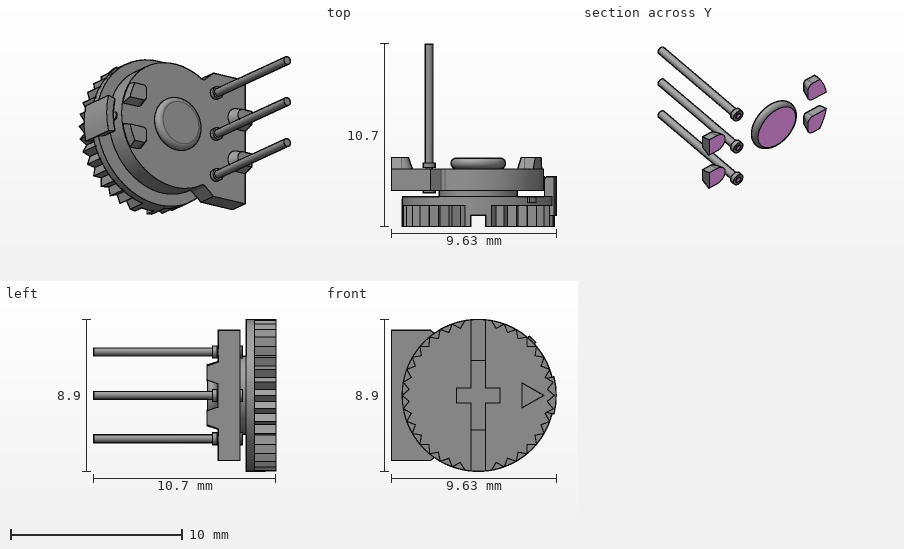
import cadquery as cq
import math


wheel_radius = 4.45
tooth_root_radius = 4.05
tooth_pitch = 10
smooth_half_angle = 10
teeth_back = 1.25
flange_back = 1.75

slot_width = 0.86
slot_depth = 0.65
slot_cut_length = 3 * wheel_radius
cross_height = 4.06
cross_length = 2.54
cross_depth = 0.86
arrow_base_x = 2.56
arrow_tip_x = 3.84
arrow_half_height = 0.72
arrow_depth = 0.37

tab_inner_radius = 3.99
tab_outer_radius = 4.56
tab_half_angle = 13.9
tab_back = 2.92
tab_chamfer = 0.12
index_angle = 46
index_length = 0.53
index_top_radius = 4.57
index_root_radius = 4.16
index_front = 1.4
index_back = 1.72

hub_radius = 2.29
body_radius = 3.82
body_front = 2.1
body_back = 3.38
body_left = -5.07
shoulder_x = -2.79
shoulder_angle = 40
shoulder_fillet = 0.19
nub_radius = 0.23
nub_tip_x = 3.88
nub_y = 2.71

pad_back = 4.04
pad_z = 1.31
left_pad_radius = 0.64
left_pad_arc_x = -4.48
left_pad_draft = 19.4
right_pad_inner_x = 2.3
right_pad_rim_radius = 3.77
right_pad_width = 1.34
right_pad_corner = 0.4
right_pad_draft = 17
knob_back = 4.01
knob_radius = 1.6

lead_x = -2.87
lead_spacing = 2.54
lead_radius = 0.48 / 2
lead_back = 10.66
collar_radius = 0.71 / 2
collar_front = 3.44
collar_back = 3.72
neck_radius = 0.37 / 2
rivet_front = 1.97


def plane_at(y):
    """Workplane at depth y whose local axes are X and Z."""
    return cq.Workplane("XZ", origin=(0, y, 0))


def raise_to_back(sketch, y_front, y_back, taper=0):
    """Extrude an outline towards +Y from y_front to y_back."""
    return sketch.extrude(y_front - y_back, taper=taper)


def disc(radius, y_front, y_back, x=0, z=0):
    return raise_to_back(plane_at(y_front).center(x, z).circle(radius), y_front, y_back)


def block(width, height, y_front, y_back):
    return raise_to_back(plane_at(y_front).rect(width, height), y_front, y_back)


def polar(radius, degrees):
    angle = math.radians(degrees)
    return radius * math.cos(angle), radius * math.sin(angle)


def make_toothed_disc():
    """Saw-edged disc with a smooth arc of rim at each end of the slot."""
    outline = plane_at(0).moveTo(*polar(wheel_radius, 0))
    angle = 0
    while angle < 360:
        if angle % 180 == 90 - smooth_half_angle:
            middle = angle + smooth_half_angle
            angle = middle + smooth_half_angle
            outline = outline.threePointArc(polar(wheel_radius, middle), polar(wheel_radius, angle))
        else:
            outline = outline.lineTo(*polar(tooth_root_radius, angle + tooth_pitch / 2))
            angle += tooth_pitch
            if angle < 360:
                outline = outline.lineTo(*polar(wheel_radius, angle))
    return raise_to_back(outline.close(), 0, teeth_back)


def make_stop_tab():
    outline = (
        plane_at(slot_depth)
        .moveTo(*polar(tab_inner_radius, -tab_half_angle))
        .lineTo(*polar(tab_outer_radius, -tab_half_angle))
        .threePointArc((tab_outer_radius, 0), polar(tab_outer_radius, tab_half_angle))
        .lineTo(*polar(tab_inner_radius, tab_half_angle))
        .threePointArc((tab_inner_radius, 0), polar(tab_inner_radius, -tab_half_angle))
        .close()
    )
    tab = raise_to_back(outline, slot_depth, tab_back)
    return tab.faces(">Y").edges("<X").chamfer(tab_chamfer)


def make_index_block():
    radial_size = index_top_radius - index_root_radius
    middle_radius = (index_top_radius + index_root_radius) / 2
    outline = plane_at(index_front).center(middle_radius, 0).rect(radial_size, index_length)
    index = raise_to_back(outline, index_front, index_back)
    return index.rotate((0, 0, 0), (0, 1, 0), -index_angle)


def make_wheel():
    arrow = plane_at(0).polyline([
        (arrow_base_x, -arrow_half_height),
        (arrow_tip_x, 0),
        (arrow_base_x, arrow_half_height),
    ]).close()
    return (
        make_toothed_disc()
        .union(disc(wheel_radius, teeth_back, flange_back))
        .union(make_stop_tab())
        .union(make_index_block())
        .cut(block(slot_width, slot_cut_length, 0, slot_depth))
        .cut(block(slot_width, cross_height, 0, cross_depth))
        .cut(block(cross_length, slot_width, 0, cross_depth))
        .cut(raise_to_back(arrow, 0, arrow_depth))
    )


def make_body_prism(y_front, y_back):
    """Round body merged with a terminal block whose shoulders slope in to the round part."""
    slope_run = -shoulder_x
    slope_end_z = body_radius - slope_run * math.tan(math.radians(shoulder_angle))
    terminal_block = plane_at(y_front).polyline([
        (body_left, -body_radius),
        (shoulder_x, -body_radius),
        (0, -slope_end_z),
        (0, slope_end_z),
        (shoulder_x, body_radius),
        (body_left, body_radius),
    ]).close()
    prism = disc(body_radius, y_front, y_back).union(raise_to_back(terminal_block, y_front, y_back))
    margin = 0.11
    inside_corners = cq.selectors.BoxSelector(
        (shoulder_x + margin, y_front - margin, -body_radius + margin),
        (-margin, y_back + margin, body_radius - margin),
    )
    return prism.edges("|Y").edges(inside_corners).fillet(shoulder_fillet)


def make_left_pad(z):
    """Drafted pad with a half-round inner end, flush with the left face of the body."""
    mirrored_end = 2 * (body_left - left_pad_arc_x)
    outline = (
        plane_at(body_back)
        .center(left_pad_arc_x, z)
        .moveTo(mirrored_end, -left_pad_radius)
        .lineTo(0, -left_pad_radius)
        .threePointArc((left_pad_radius, 0), (0, left_pad_radius))
        .lineTo(mirrored_end, left_pad_radius)
        .close()
    )
    pad = raise_to_back(outline, body_back, pad_back, left_pad_draft)
    return pad.intersect(block(-2 * body_left, 2 * body_radius, body_back, pad_back))


def make_right_pad(z):
    """Drafted pad with rounded inner corners whose outer end follows the round rim."""
    length = 2 * (body_radius - right_pad_inner_x)
    outline = cq.Sketch().rect(length, right_pad_width).vertices().fillet(right_pad_corner)
    pad = plane_at(body_back).center(body_radius, z).placeSketch(outline)
    pad = raise_to_back(pad, body_back, pad_back, right_pad_draft)
    return pad.intersect(disc(right_pad_rim_radius, body_back, pad_back))


def make_knob():
    """Flat button with a full-round rim."""
    edge_radius = (knob_back - body_back) / 2
    core_radius = knob_radius - edge_radius
    middle_y = body_back + edge_radius
    profile = (
        cq.Workplane("XY")
        .moveTo(0, body_back)
        .lineTo(core_radius, body_back)
        .threePointArc((knob_radius, middle_y), (core_radius, knob_back))
        .lineTo(0, knob_back)
        .close()
    )
    return profile.revolve(360, (0, 0, 0), (0, 1, 0))


def make_nub():
    return cq.Workplane("YZ").center(nub_y, 0).circle(nub_radius).extrude(nub_tip_x)


def make_lead(z):
    return (
        disc(collar_radius, rivet_front, body_front, lead_x, z)
        .union(disc(neck_radius, body_front, collar_front, lead_x, z))
        .union(disc(collar_radius, collar_front, collar_back, lead_x, z))
        .union(disc(lead_radius, collar_back, lead_back, lead_x, z))
    )


result = (
    make_wheel()
    .union(disc(hub_radius, flange_back, body_front))
    .union(make_body_prism(body_front, body_back))
    .union(make_nub())
    .union(make_knob())
)
for pad_side_z in (-pad_z, pad_z):
    result = result.union(make_left_pad(pad_side_z)).union(make_right_pad(pad_side_z))
for lead_z in (-lead_spacing, 0, lead_spacing):
    result = result.union(make_lead(lead_z))